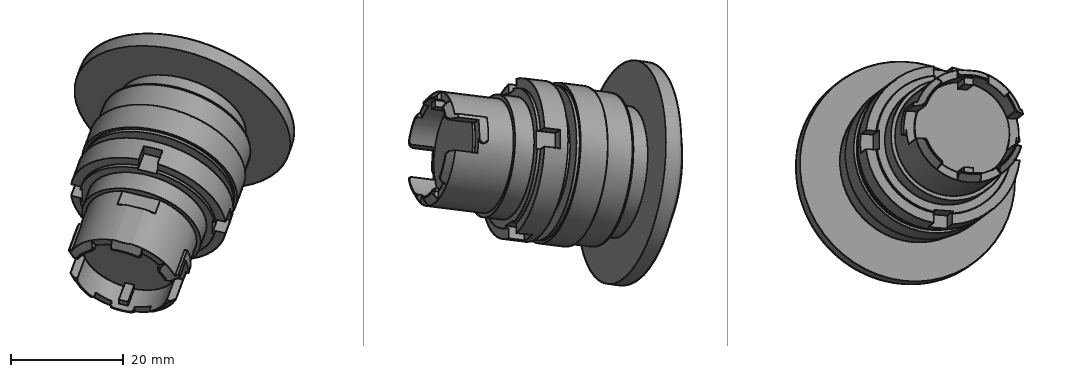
import math

import cadquery as cq


cap_radius = 20.0
cap_face_radius = 13.45
cap_face_band = 0.12
cap_shoulder_depth = 3.0
cap_depth = 6.0
cap_edge_fillet = 1.0

neck_radius = 11.8
neck_depth = 9.55
collar_radius = 13.8
collar_chamfer_height = 0.3
collar_chamfer_inset = 0.1
bezel_radius = 14.4
bezel_start = 14.65
bezel_depth = 20.05
bezel_fillet = 0.45
seal_radius = 13.9
seal_depth = 20.65

barrel_radius = 11.0
barrel_depth = 31.25
nut_radius = 14.4
nut_start = 22.5
nut_depth = 27.0
nut_lip_radius = 12.55
nut_lip_depth = 27.6
nut_slot_count = 4
nut_slot_width = 3.45
nut_slot_floor = 12.05
nut_slot_start = 24.0

spigot_radius = 10.25
cavity_radius = 8.8
cavity_floor = 38.45
rim_depth = 42.3
total_depth = 43.49
lug_height = total_depth - rim_depth
lug_land_radius = spigot_radius - lug_height
lug_tip_chamfer = 0.4

opening_half_width = 3.0
opening_start = 38.0

centre_lug_half_width = 2.13
upper_lug_right_edge = 3.47
corner_lug_angle = 54.6
right_lug_angle = 41.5

ridge_radius = 10.7
ridge_start = 36.3
ridge_top = 3.75
ridge_bottom = -1.25

wide_flat_width = 7.0
wide_flat_end = 34.3
narrow_flat_width = 3.1

key_width = 1.7
key_inner_edge = 7.55


def block(x_min, x_max, depth_start, depth_end, z_min, z_max):
    """Axis-aligned block between two depths."""
    size = (x_max - x_min, depth_end - depth_start, z_max - z_min)
    return cq.Workplane("XY").box(*size, centered=False).translate((x_min, -depth_end, z_min))


def disc(radius, depth_start, depth_end):
    """Round disc on the Y axis between two depths."""
    sketch = cq.Workplane("XZ", origin=(0, -depth_start, 0)).circle(radius)
    return sketch.extrude(depth_end - depth_start)


def ring(outer_radius, inner_radius, depth_start, depth_end):
    return disc(outer_radius, depth_start, depth_end).cut(disc(inner_radius, depth_start, depth_end))


def make_cap():
    cone_and_rim = (
        cq.Workplane("XY")
        .moveTo(0, -cap_face_band)
        .lineTo(0, -cap_depth)
        .lineTo(cap_radius, -cap_depth)
        .lineTo(cap_radius, -cap_shoulder_depth)
        .lineTo(cap_face_radius, -cap_face_band)
        .close()
        .revolve(360, (0, 0, 0), (0, 1, 0))
    )
    cone_and_rim = cone_and_rim.faces("%CYLINDER").edges(">Y").fillet(cap_edge_fillet)
    return cone_and_rim.union(disc(cap_face_radius, 0, cap_face_band))


def make_head():
    collar = disc(collar_radius, neck_depth, bezel_start)
    collar = collar.faces(">Y").chamfer(collar_chamfer_height, collar_chamfer_inset)
    bezel = disc(bezel_radius, bezel_start, bezel_depth).faces(">Y").edges().fillet(bezel_fillet)
    head = make_cap().union(disc(neck_radius, cap_depth, neck_depth))
    head = head.union(collar).union(bezel)
    return head.union(disc(seal_radius, bezel_depth, seal_depth))


def make_nut():
    nut = disc(nut_radius, nut_start, nut_depth).union(disc(nut_lip_radius, nut_depth, nut_lip_depth))
    half_slot = nut_slot_width / 2
    slot = block(-half_slot, half_slot, nut_slot_start, nut_lip_depth, nut_slot_floor, nut_radius)
    for index in range(nut_slot_count):
        nut = nut.cut(slot.rotate((0, 0, 0), (0, 1, 0), index * 360 / nut_slot_count))
    return nut


def make_ridges():
    """L-shaped ridges on both flanks, wrapped round the spigot, with a round lower end."""
    round_centre = ridge_bottom + (opening_start - ridge_start) / 2
    outline = (
        cq.Workplane("YZ", origin=(-ridge_radius, 0, 0))
        .moveTo(-ridge_start, ridge_top)
        .lineTo(-total_depth, ridge_top)
        .lineTo(-total_depth, opening_half_width)
        .lineTo(-opening_start, opening_half_width)
        .lineTo(-opening_start, round_centre)
        .threePointArc((-(opening_start + ridge_start) / 2, ridge_bottom), (-ridge_start, round_centre))
        .close()
    )
    bar = outline.extrude(2 * ridge_radius)
    return bar.intersect(ring(ridge_radius, cavity_radius, ridge_start, total_depth))


def chamfer_tip(lug):
    return lug.faces("<Y").chamfer(lug_tip_chamfer)


def centre_lug(x_min, x_max, side):
    """Lug blank above (side = 1) or below (side = -1) the axis, with parallel flanks."""
    reach = 2 * spigot_radius
    z_min, z_max = sorted((0, side * reach))
    return chamfer_tip(block(x_min, x_max, rim_depth, total_depth, z_min, z_max))


def corner_lug(angle, x_side, z_side):
    """Lug blank from the edge of a side opening round to a radial flank at the angle."""
    reach = 2 * spigot_radius
    angle = math.radians(angle)
    start_x = opening_half_width / math.tan(angle)
    points = [
        (x_side * start_x, z_side * opening_half_width),
        (x_side * reach, z_side * opening_half_width),
        (x_side * reach * math.cos(angle), z_side * reach * math.sin(angle)),
    ]
    sketch = cq.Workplane("XZ", origin=(0, -rim_depth, 0)).polyline(points).close()
    return chamfer_tip(sketch.extrude(lug_height))


def make_lug_blanks():
    return [
        centre_lug(-centre_lug_half_width, upper_lug_right_edge, 1),
        centre_lug(-centre_lug_half_width, centre_lug_half_width, -1),
        corner_lug(right_lug_angle, 1, 1),
        corner_lug(corner_lug_angle, -1, 1),
        corner_lug(corner_lug_angle, 1, -1),
        corner_lug(corner_lug_angle, -1, -1),
    ]


def make_tip_cone():
    """Envelope of the lugs: a 45 degree cone down to a narrow land at the tip."""
    cone_growth = ridge_radius - spigot_radius
    return (
        cq.Workplane("XY")
        .moveTo(0, -barrel_depth)
        .lineTo(ridge_radius, -barrel_depth)
        .lineTo(ridge_radius, -rim_depth + cone_growth)
        .lineTo(lug_land_radius, -total_depth)
        .lineTo(0, -total_depth)
        .close()
        .revolve(360, (0, 0, 0), (0, 1, 0))
    )


def cut_flats(spigot):
    """Cut two flats, each as deep as its width on the round spigot requires."""
    for width, end in ((wide_flat_width, wide_flat_end), (narrow_flat_width, total_depth)):
        half = width / 2
        level = math.sqrt(spigot_radius**2 - half**2)
        spigot = spigot.cut(block(-half, half, barrel_depth, end, level, ridge_radius))
    return spigot


def make_spigot():
    wall = ring(spigot_radius, cavity_radius, barrel_depth, total_depth).union(make_ridges())
    wall = wall.intersect(make_tip_cone())

    lug_zone = ring(ridge_radius, cavity_radius, rim_depth, total_depth)
    for blank in make_lug_blanks():
        lug_zone = lug_zone.cut(blank)
    wall = wall.cut(lug_zone)

    opening = block(
        -ridge_radius, ridge_radius, opening_start, total_depth, -opening_half_width, opening_half_width
    )
    wall = wall.cut(opening)

    spigot = cut_flats(wall).union(disc(cavity_radius, barrel_depth, cavity_floor))
    half_key = key_width / 2
    key_outer_edge = (cavity_radius + lug_land_radius) / 2
    key = block(-half_key, half_key, cavity_floor, rim_depth, key_inner_edge, key_outer_edge)
    return spigot.union(key).union(key.mirror("XY"))


barrel = disc(barrel_radius, seal_depth, barrel_depth)
result = make_head().union(barrel).union(make_nut()).union(make_spigot())